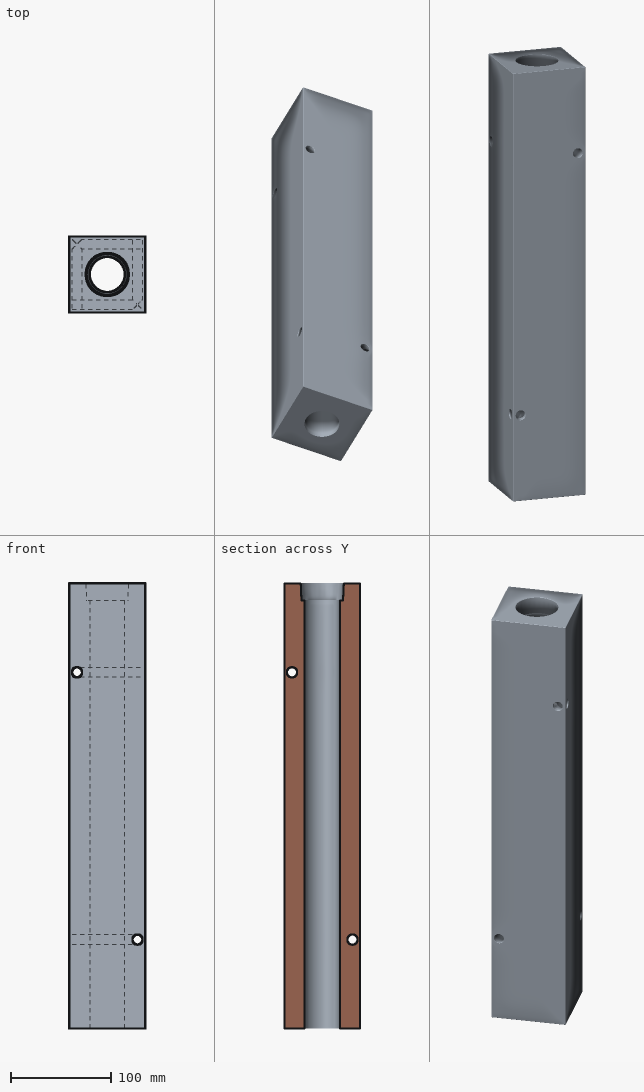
import cadquery as cq

side = 76.2
length = 444.5
edge_chamfer = 0.254

bore_diameter = 34.9
port_top_diameter = 42.6
port_bottom_diameter = 41.0
port_depth = 17.0

cross_hole_diameter = 9.8
cross_hole_edge_distance = 7.94
cross_hole_end_distance = 88.9

cross_hole_offset = side / 2 - cross_hole_edge_distance
cross_hole_height = length / 2 - cross_hole_end_distance


def make_bar():
    """Square bar with all twelve edges broken, bored through along Z."""
    bar = cq.Workplane("XY").box(side, side, length).edges().chamfer(edge_chamfer)
    return bar.faces(">Z").workplane().hole(bore_diameter)


def make_port():
    """Tapered port, narrowing downward from the top face."""
    return (
        cq.Workplane("XY", origin=(0, 0, length / 2))
        .circle(port_top_diameter / 2)
        .workplane(offset=-port_depth)
        .circle(port_bottom_diameter / 2)
        .loft()
    )


def make_cross_hole_pair(x, y, z):
    """Two full-width cylinders, along Y at x and along X at y, at height z."""
    radius = cross_hole_diameter / 2
    along_y = cq.Workplane("XZ").center(x, z).circle(radius).extrude(side / 2, both=True)
    along_x = cq.Workplane("YZ").center(y, z).circle(radius).extrude(side / 2, both=True)
    return along_y.union(along_x)


def break_hole_mouths(bar):
    """Chamfer the port mouth on the top and the cross-hole mouths on the four long sides."""
    for face in (">Z", "<X", ">X", "<Y", ">Y"):
        bar = bar.faces(face).edges("%CIRCLE").chamfer(edge_chamfer)
    return bar


result = make_bar().cut(make_port())
for end in (1, -1):
    result = result.cut(
        make_cross_hole_pair(-end * cross_hole_offset, end * cross_hole_offset, end * cross_hole_height)
    )
result = break_hole_mouths(result)